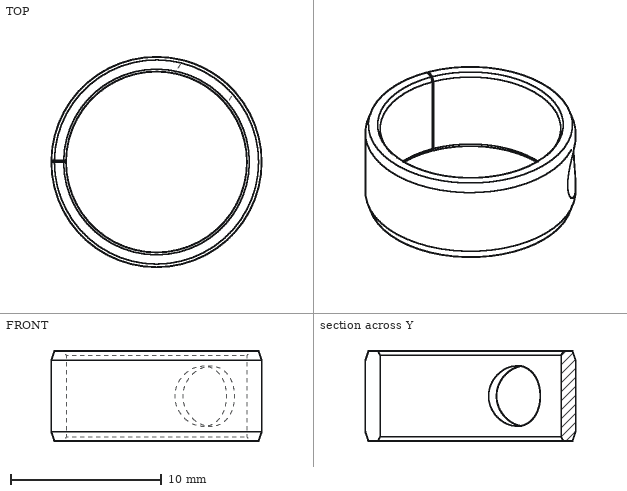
import cadquery as cq

outer_diameter = 14.0
inner_diameter = 12.01
height = 6.0

outer_bevel_radial = 0.21
outer_bevel_axial = 0.63
inner_bevel_radial = 0.17
inner_bevel_axial = 0.3

slit_width = 0.1

hole_diameter = 4.0
hole_angle = 59.0

outer_radius = outer_diameter / 2
inner_radius = inner_diameter / 2
half_height = height / 2


def bevelled_ring():
    """Revolve the wall section, bevelled at all four corners, about Z."""
    section = [
        (inner_radius, -half_height + inner_bevel_axial),
        (inner_radius + inner_bevel_radial, -half_height),
        (outer_radius - outer_bevel_radial, -half_height),
        (outer_radius, -half_height + outer_bevel_axial),
        (outer_radius, half_height - outer_bevel_axial),
        (outer_radius - outer_bevel_radial, half_height),
        (inner_radius + inner_bevel_radial, half_height),
        (inner_radius, half_height - inner_bevel_axial),
    ]
    return cq.Workplane("XZ").polyline(section).close().revolve(360, (0, 0), (0, 1))


def slit_cutter():
    """Thin block on the +Y side of Y = 0, from the axis out through the -X wall."""
    block = cq.Workplane("XY").box(outer_diameter, slit_width, 2 * height)
    return block.translate((-outer_radius, slit_width / 2, 0))


def hole_cutter():
    """Radial cylinder from the axis out through the wall at mid-height."""
    cylinder = cq.Workplane("YZ").circle(hole_diameter / 2).extrude(outer_diameter)
    return cylinder.rotate((0, 0, 0), (0, 0, 1), hole_angle)


result = bevelled_ring().cut(slit_cutter()).cut(hole_cutter())